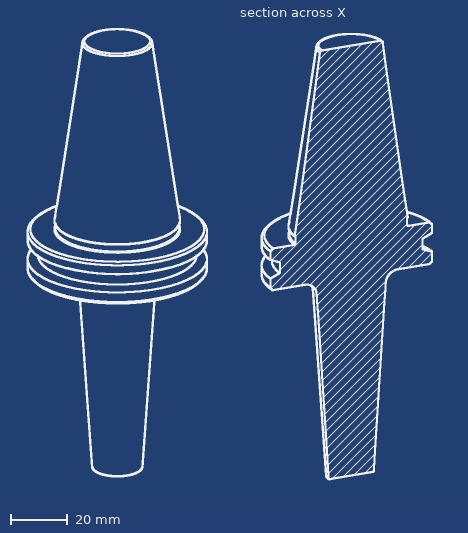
import cadquery as cq
import math

total_length = 162.5
taper_length = 68.4
neck_length = 3.2
flange_thickness = 16.0
gauge_z = total_length - taper_length
flange_top_z = gauge_z - neck_length
flange_bottom_z = flange_top_z - flange_thickness

gauge_radius = 22.3
taper_ratio = 7 / 24
top_radius = gauge_radius - taper_length * taper_ratio / 2
top_chamfer = 0.6
neck_radius = 22.0
neck_shoulder = gauge_radius - neck_radius

flange_radius = 31.77
flange_chamfer = 1.0
groove_center_z = 83.0
groove_mouth_width = 7.0
groove_floor_width = 3.9
groove_floor_radius = 28.1

nose_root_radius = 13.6
nose_tip_radius = 9.0
nose_chamfer = 0.3
root_fillet = 4.5


def truncated_cone(bottom_z, top_z, bottom_radius, upper_radius):
    """Solid of revolution with a straight side between two heights."""
    return (
        cq.Workplane("XZ")
        .moveTo(0, bottom_z)
        .lineTo(bottom_radius, bottom_z)
        .lineTo(upper_radius, top_z)
        .lineTo(0, top_z)
        .close()
        .revolve(360, (0, 0, 0), (0, 1, 0))
    )


def make_flange():
    """Chamfered disc with a V-groove around its rim."""
    disc = truncated_cone(flange_bottom_z, flange_top_z, flange_radius, flange_radius)
    disc = disc.edges("%CIRCLE").chamfer(flange_chamfer)
    mouth_half = groove_mouth_width / 2
    floor_half = groove_floor_width / 2
    groove = (
        cq.Workplane("XZ")
        .moveTo(flange_radius, groove_center_z - mouth_half)
        .lineTo(groove_floor_radius, groove_center_z - floor_half)
        .lineTo(groove_floor_radius, groove_center_z + floor_half)
        .lineTo(flange_radius, groove_center_z + mouth_half)
        .close()
        .revolve(360, (0, 0, 0), (0, 1, 0))
    )
    return disc.cut(groove)


def make_nose():
    """Tapered nose whose root flares into the flange with a tangent arc."""
    root_z = flange_bottom_z - root_fillet
    slope = math.atan2(nose_root_radius - nose_tip_radius, root_z)
    tangent_z = flange_bottom_z - root_fillet * (1 + math.sin(slope))
    tangent_radius = nose_tip_radius + tangent_z * math.tan(slope)
    center_radius = tangent_radius + root_fillet * math.cos(slope)
    center_z = flange_bottom_z - root_fillet
    middle_angle = (math.pi / 2 + math.pi + slope) / 2
    middle_point = (
        center_radius + root_fillet * math.cos(middle_angle),
        center_z + root_fillet * math.sin(middle_angle),
    )
    return (
        cq.Workplane("XZ")
        .lineTo(nose_tip_radius, 0)
        .lineTo(tangent_radius, tangent_z)
        .threePointArc(middle_point, (center_radius, flange_bottom_z))
        .lineTo(0, flange_bottom_z)
        .close()
        .revolve(360, (0, 0, 0), (0, 1, 0))
        .faces("<Z")
        .edges()
        .chamfer(nose_chamfer)
    )


def make_neck():
    """Shallow relief below the gauge line with a 45 degree shoulder at each end."""
    lower_z = flange_top_z + neck_shoulder
    upper_z = gauge_z - neck_shoulder
    lower_shoulder = truncated_cone(flange_top_z, lower_z, gauge_radius, neck_radius)
    waist = truncated_cone(lower_z, upper_z, neck_radius, neck_radius)
    upper_shoulder = truncated_cone(upper_z, gauge_z, neck_radius, gauge_radius)
    return lower_shoulder.union(waist).union(upper_shoulder)


def make_machine_taper():
    """Steep taper with a chamfered small end."""
    cone = truncated_cone(gauge_z, total_length, gauge_radius, top_radius)
    return cone.faces(">Z").edges().chamfer(top_chamfer)


result = make_flange().union(make_nose()).union(make_neck()).union(make_machine_taper())